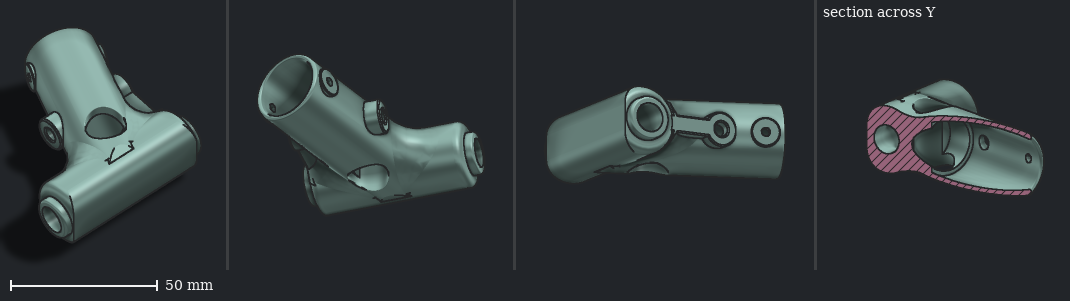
import cadquery as cq
import math

SLEEVE_RADIUS = 12.0
SLEEVE_LENGTH = 55.0
SLEEVE_END_ROUND = 3.0
FLAT_X = 8.1
FLAT_CORNER_RADIUS = 7.6
COLLAR_RADIUS = 7.5
COLLAR_SPAN = 61.0
COLLAR_ROUND = 1.0
PIN_HOLE_DIAMETER = 10.0

TUBE_ANGLE = math.radians(20)
TUBE_RADIUS = 13.0
TUBE_LENGTH = 60.0
TUBE_RIM_ROUND = 1.0
BORE_MOUTH_ROUND = 0.85
BORE_RADIUS = 11.1
BORE_DEPTH = 38.0
INNER_BORE_RADIUS = 9.5
INNER_BORE_DEPTH = 49.0
TAPER_START_X = -2.6
TAPER_END_X = 1.3

LOWER_FILLET = 17.0
UPPER_FILLET = 10.0
FILLET_SWEEP = math.radians(86)
FILLET_STEPS = 12
FILLET_SINK = 0.08
ROOT_DEPTH = 2.0

WINDOW_RADIUS = 7.0
WINDOW_EDGE_ROUND = 0.3
WINDOW_POSITION = 14.3

PAD_RADIUS = 5.0
PAD_POSITION = 53.0
PAD_OFFSET = 13.5
PAD_ROOT = 11.5
PAD_CHAMFER = 0.3
SCREW_HOLE_DIAMETER = 3.0

BOSS_X = -30.0
BOSS_RADIUS = 6.0
BOSS_Y_MIN = -6.1
BOSS_Y_MAX = 27.0
BOSS_CHAMFER = 0.5
BOSS_HOLE_DIAMETER = 5.0
BOSS_HOLE_CHAMFER = 0.5
RIB_THICKNESS = 6.0

COS = math.cos(TUBE_ANGLE)
SIN = math.sin(TUBE_ANGLE)
TUBE_DIRECTION = cq.Vector(-COS, SIN, 0)
TUBE_END = TUBE_DIRECTION * TUBE_LENGTH
TUBE_NORMAL = cq.Vector(SIN, COS, 0)
Y_DIRECTION = cq.Vector(0, 1, 0)


def rod(radius, start, direction, length):
    """Cylinder from a start point along a direction."""
    return cq.Workplane(cq.Solid.makeCylinder(radius, length, start, direction))


def sleeve_body():
    """Flattened sleeve whose ends are rounded about the sleeve axis."""
    half = SLEEVE_LENGTH / 2
    corner_x = FLAT_X - FLAT_CORNER_RADIUS
    reach = SLEEVE_RADIUS - FLAT_CORNER_RADIUS
    corner_z = math.sqrt(reach**2 - corner_x**2)
    tangent_x = corner_x * SLEEVE_RADIUS / reach
    tangent_z = corner_z * SLEEVE_RADIUS / reach
    mid_angle = math.atan2(corner_z, corner_x) / 2
    mid_x = corner_x + FLAT_CORNER_RADIUS * math.cos(mid_angle)
    mid_z = corner_z + FLAT_CORNER_RADIUS * math.sin(mid_angle)
    profile = (
        cq.Workplane("XZ")
        .moveTo(FLAT_X, -corner_z)
        .lineTo(FLAT_X, corner_z)
        .threePointArc((mid_x, mid_z), (tangent_x, tangent_z))
        .threePointArc((-SLEEVE_RADIUS, 0), (tangent_x, -tangent_z))
        .threePointArc((mid_x, -mid_z), (FLAT_X, -corner_z))
        .close()
        .extrude(half, both=True)
    )
    rounded = rod(SLEEVE_RADIUS, cq.Vector(0, -half, 0), Y_DIRECTION, SLEEVE_LENGTH)
    return profile.intersect(rounded.edges().fillet(SLEEVE_END_ROUND))


def collars():
    """Rod whose two ends stand out of the sleeve as collars."""
    start = cq.Vector(0, -COLLAR_SPAN / 2, 0)
    return rod(COLLAR_RADIUS, start, Y_DIRECTION, COLLAR_SPAN).edges().fillet(COLLAR_ROUND)


def outer_bore():
    """Wide part of the tube bore."""
    return rod(BORE_RADIUS, TUBE_END, TUBE_DIRECTION * -1, BORE_DEPTH)


def window():
    """Round opening straight down through the tube."""
    start = TUBE_DIRECTION * WINDOW_POSITION + cq.Vector(0, 0, -TUBE_LENGTH)
    return rod(WINDOW_RADIUS, start, cq.Vector(0, 0, 1), 2 * TUBE_LENGTH)


def window_edge(side):
    """Selector for the window's edge on the upper (+1) or lower (-1) tube surface."""
    center = TUBE_DIRECTION * WINDOW_POSITION
    first = center + cq.Vector(-WINDOW_RADIUS, -WINDOW_RADIUS, side * INNER_BORE_RADIUS)
    last = center + cq.Vector(WINDOW_RADIUS, WINDOW_RADIUS, side * TUBE_RADIUS)
    return cq.selectors.BoxSelector(first.toTuple(), last.toTuple())


def tube_body():
    """Tube with rounded rim and window, its crown sloping down to the sleeve."""
    start = TUBE_DIRECTION * -TUBE_RADIUS
    tube = rod(TUBE_RADIUS, start, TUBE_DIRECTION, TUBE_LENGTH + TUBE_RADIUS)
    tube = tube.edges("<X").fillet(TUBE_RIM_ROUND)
    tube = tube.cut(outer_bore())
    mouth_edge = cq.selectors.NearestToPointSelector((TUBE_END + TUBE_NORMAL * BORE_RADIUS).toTuple())
    tube = tube.edges(mouth_edge).fillet(BORE_MOUTH_ROUND)
    reach = TUBE_LENGTH + TUBE_RADIUS
    envelope = (
        cq.Workplane("XZ")
        .moveTo(-reach, -TUBE_RADIUS)
        .lineTo(TAPER_START_X, -TUBE_RADIUS)
        .lineTo(TAPER_END_X, -SLEEVE_RADIUS)
        .lineTo(TAPER_END_X, SLEEVE_RADIUS)
        .lineTo(TAPER_START_X, TUBE_RADIUS)
        .lineTo(-reach, TUBE_RADIUS)
        .close()
        .extrude(reach, both=True)
    )
    tube = tube.intersect(envelope).cut(window())
    for side in (1, -1):
        tube = tube.edges(window_edge(side)).fillet(WINDOW_EDGE_ROUND)
    return tube


def offset_crossing(offset, angle, side):
    """Point at the given offset outside both the sleeve and the tube wall.

    The angle turns about the sleeve axis from the -X direction up to +Z, and side
    is +1 or -1 for the +Y or -Y flank of the tube.
    """
    sleeve_reach = SLEEVE_RADIUS + offset
    x = -sleeve_reach * math.cos(angle)
    z = sleeve_reach * math.sin(angle)
    across = side * math.sqrt((TUBE_RADIUS + offset) ** 2 - z**2)
    y = (across - x * SIN) / COS
    return cq.Vector(x, y, z)


def sleeve_contact(ball, ratio):
    """Where a ball centred at this point touches the sleeve."""
    return cq.Vector(ball.x * ratio, ball.y, ball.z * ratio)


def tube_contact(ball, ratio):
    """Where a ball centred at this point touches the tube."""
    foot = TUBE_DIRECTION * ball.dot(TUBE_DIRECTION)
    return foot + (ball - foot) * ratio


def fillet_section(ball, radius):
    """Wedge between the ball's contact arc and a root point buried in the walls."""
    sleeve_spoke = sleeve_contact(ball, SLEEVE_RADIUS / (SLEEVE_RADIUS + radius)) - ball
    tube_spoke = tube_contact(ball, TUBE_RADIUS / (TUBE_RADIUS + radius)) - ball
    half_turn = sleeve_spoke.getAngle(tube_spoke) / 2
    inward = (sleeve_spoke + tube_spoke).normalized()
    ball = ball + inward * FILLET_SINK
    start = ball + sleeve_spoke
    middle = ball + inward * radius
    end = ball + tube_spoke
    root = ball + inward * (radius / math.cos(half_turn) + ROOT_DEPTH)
    edges = [
        cq.Edge.makeThreePointArc(start, middle, end),
        cq.Edge.makeLine(end, root),
        cq.Edge.makeLine(root, start),
    ]
    return cq.Wire.assembleEdges(edges)


def corner_fillet(radius, side):
    """Rolling-ball fillet, lofted through its wedge sections along the corner."""
    steps = range(-FILLET_STEPS, FILLET_STEPS + 1)
    angles = [FILLET_SWEEP * step / FILLET_STEPS for step in steps]
    balls = [offset_crossing(radius, angle, side) for angle in angles]
    sections = [fillet_section(ball, radius) for ball in balls]
    return cq.Workplane(cq.Solid.makeLoft(sections))


def corner_fillets():
    """Both fillets, cut off level with the boss face."""
    size = 2 * TUBE_LENGTH
    limits = cq.Workplane().box(size, 2 * BOSS_Y_MAX, size)
    lower = corner_fillet(LOWER_FILLET, -1)
    upper = corner_fillet(UPPER_FILLET, 1)
    return [fillet.intersect(limits) for fillet in (lower, upper)]


def pads():
    """Flat round pads on both flanks of the tube, rooted inside its wall."""
    discs = []
    for side in (-1, 1):
        outward = TUBE_NORMAL * side
        start = TUBE_DIRECTION * PAD_POSITION + outward * PAD_ROOT
        disc = rod(PAD_RADIUS, start, outward, PAD_OFFSET - PAD_ROOT)
        discs.append(disc.faces(cq.selectors.DirectionMinMaxSelector(outward)).chamfer(PAD_CHAMFER))
    return discs


def cross_boss():
    """Round boss that crosses the tube and stands out on both flanks."""
    start = cq.Vector(BOSS_X, BOSS_Y_MIN, 0)
    boss = rod(BOSS_RADIUS, start, Y_DIRECTION, BOSS_Y_MAX - BOSS_Y_MIN)
    return boss.edges().chamfer(BOSS_CHAMFER)


def rib():
    """Web from the cross boss to the sleeve, level with the boss face."""
    rib_box = cq.Workplane().box(-BOSS_X, BOSS_Y_MAX, RIB_THICKNESS, centered=(False, False, True))
    return rib_box.translate((BOSS_X, 0, 0)).edges(">Y and |X").chamfer(BOSS_CHAMFER)


def tube_bores():
    """Stepped bore from the open end of the tube."""
    return outer_bore().union(rod(INNER_BORE_RADIUS, TUBE_END, TUBE_DIRECTION * -1, INNER_BORE_DEPTH))


def boss_hole_chamfers():
    """Cones that open both ends of the boss hole."""
    hole_radius = BOSS_HOLE_DIAMETER / 2
    mouth_radius = hole_radius + BOSS_HOLE_CHAMFER
    cones = []
    for mouth_y, inward in ((BOSS_Y_MIN, 1), (BOSS_Y_MAX, -1)):
        mouth = cq.Vector(BOSS_X, mouth_y, 0)
        direction = Y_DIRECTION * inward
        cone = cq.Solid.makeCone(mouth_radius, hole_radius, BOSS_HOLE_CHAMFER, mouth, direction)
        cones.append(cq.Workplane(cone))
    return cones


def cross_holes():
    """Window, screw, boss and hinge pin holes, all right through."""
    reach = TUBE_LENGTH
    through = 2 * reach
    screw_start = TUBE_DIRECTION * PAD_POSITION - TUBE_NORMAL * reach
    boss_start = cq.Vector(BOSS_X, -reach, 0)
    pin_start = cq.Vector(0, -reach, 0)
    return [
        window(),
        rod(SCREW_HOLE_DIAMETER / 2, screw_start, TUBE_NORMAL, through),
        rod(BOSS_HOLE_DIAMETER / 2, boss_start, Y_DIRECTION, through),
        rod(PIN_HOLE_DIAMETER / 2, pin_start, Y_DIRECTION, through),
    ]


result = sleeve_body()
for addition in [tube_body(), *corner_fillets(), collars(), *pads(), cross_boss(), rib()]:
    result = result.union(addition)
for removal in [tube_bores(), *cross_holes(), *boss_hole_chamfers()]:
    result = result.cut(removal)